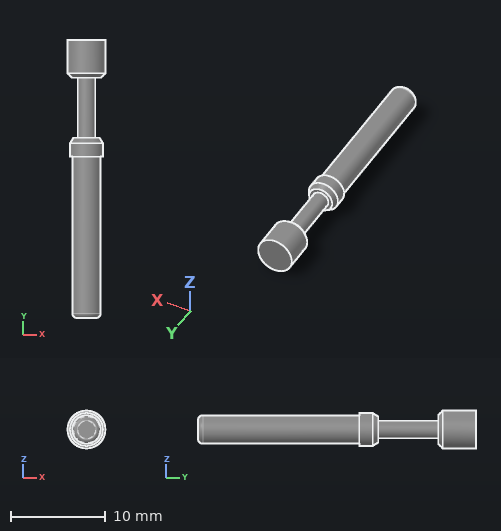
import cadquery as cq

total_length = 29.3

head_diameter = 4.0
head_length = 4.0
head_chamfer = 0.5

stem_diameter = 1.88
stem_length = 6.27

collar_diameter = 3.5
collar_length = 2.02
collar_cone_length = 0.62
collar_cone_end_diameter = 2.75

barrel_diameter = 3.0
tip_radius = 0.5

head_start = total_length - head_length
collar_end = head_start - stem_length
collar_start = collar_end - collar_length


def cylinder(diameter, start, length):
    """Solid cylinder on the Y axis, growing toward +Y from start."""
    plane = cq.Workplane("XZ", origin=(0, start, 0))
    return plane.circle(diameter / 2).extrude(-length)


barrel = cylinder(barrel_diameter, 0, collar_start).faces("<Y").edges().fillet(tip_radius)

collar_cone_drop = (collar_diameter - collar_cone_end_diameter) / 2
collar_profile = (
    cq.Workplane("XY")
    .moveTo(0, collar_start)
    .lineTo(collar_diameter / 2, collar_start)
    .lineTo(collar_diameter / 2, collar_end - collar_cone_length)
    .line(-collar_cone_drop, collar_cone_length)
    .lineTo(0, collar_end)
    .close()
)
collar = collar_profile.revolve(360, (0, 0, 0), (0, 1, 0))

stem = cylinder(stem_diameter, collar_end, stem_length)

head = cylinder(head_diameter, head_start, head_length).faces("<Y").edges().chamfer(head_chamfer)

result = barrel.union(collar).union(stem).union(head)